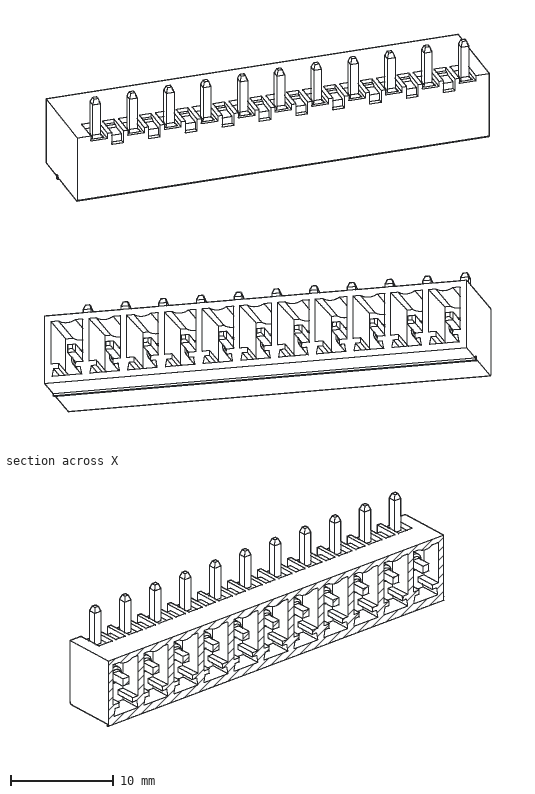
import cadquery as cq

PIN_COUNT = 11
BODY_DEPTH = 9.2
BODY_LENGTH = 42.65
END_MARGIN = 2.25
PITCH = (BODY_LENGTH - 2 * END_MARGIN) / (PIN_COUNT - 1)
BODY_HEIGHT = 6.95
REAR_CHAMFER = 0.15

CELL_DEPTH = 5.55
CELL_WIDTH = 3.2
CELL_TOP = BODY_HEIGHT - 0.65
CELL_BOTTOM = 0.7
WALL_TAPER = 0.15
BUMP_HALF_WIDTH = 0.85
BUMP_DROP = 0.25
RAIL_TOP = 1.95
RAIL_BOTTOM = 1.45
RAIL_GAP = 1.65
FOOT_TOP_WIDTH = 2.7
FOOT_BOTTOM_WIDTH = 3.0

COLLAR_DIAMETER = 1.8
COLLAR_LENGTH = 0.65
COLLAR_CHAMFER = 0.2

PIN_SIZE = 0.8
PIN_TIP_SIZE = 0.43
PIN_TIP_LENGTH = 0.5
PIN_FRONT = 1.3
PIN_LEG_X = 8.05
PIN_AXIS_Z = BODY_HEIGHT - 2.95
PIN_RISE = 3.45

RECESS_FRONT = 6.45
RECESS_DEPTH = 0.55
PIN_RECESS_WIDTH = 1.7
GAP_RECESS_WIDTH = 1.2
GAP_LEDGE_DEPTH = 0.4
GAP_LEDGE_LENGTH = 0.4
GAP_RAMP_LENGTH = 0.25
GAP_STEP_LENGTH = 0.5
GAP_STEP_DEPTH = 1.3

WEDGE_LENGTH = 0.4
WEDGE_HEIGHT = 0.2
WEDGE_REAR_WIDTH = 1.25

RIB_X = 3.37
RIB_WIDTH = 0.25
RIB_HEIGHT = 0.2
RIB_OVERHANG = 0.05

LAST_PIN_Y = PITCH * (PIN_COUNT - 1) / 2
PIN_POSITIONS = [i * PITCH - LAST_PIN_Y for i in range(PIN_COUNT)]
GAP_POSITIONS = [y + PITCH / 2 for y in PIN_POSITIONS[:-1]]


def box(x0, x1, y0, y1, z0, z1):
    """Box between two opposite corners."""
    return cq.Workplane("XY").box(x1 - x0, y1 - y0, z1 - z0, centered=False).translate((x0, y0, z0))


def make_body():
    body = box(0, BODY_DEPTH, -BODY_LENGTH / 2, BODY_LENGTH / 2, 0, BODY_HEIGHT)
    return body.edges(">X and <Z").chamfer(REAR_CHAMFER)


def upper_cell(y, left_taper, right_taper):
    """Space above the rails; its sides close in towards the back by the given tapers."""
    left = y - CELL_WIDTH / 2
    right = y + CELL_WIDTH / 2
    plan = [(0, left), (0, right), (CELL_DEPTH, right - right_taper), (CELL_DEPTH, left + left_taper)]
    space = cq.Workplane("XY", origin=(0, 0, RAIL_TOP)).polyline(plan).close().extrude(CELL_TOP - RAIL_TOP)
    bump = (
        cq.Workplane("YZ")
        .moveTo(y - BUMP_HALF_WIDTH, CELL_TOP)
        .threePointArc((y, CELL_TOP - BUMP_DROP), (y + BUMP_HALF_WIDTH, CELL_TOP))
        .close()
        .extrude(CELL_DEPTH)
    )
    return space.cut(bump)


def lower_cell(y):
    """Slot between the rails and the flared foot space below them."""
    half_outline = [
        (RAIL_GAP / 2, RAIL_TOP),
        (RAIL_GAP / 2, RAIL_BOTTOM),
        (FOOT_TOP_WIDTH / 2, RAIL_BOTTOM),
        (FOOT_BOTTOM_WIDTH / 2, CELL_BOTTOM),
    ]
    right_side = [(y + dy, z) for dy, z in half_outline]
    left_side = [(y - dy, z) for dy, z in reversed(half_outline)]
    return cq.Workplane("YZ").polyline(right_side + left_side).close().extrude(CELL_DEPTH)


def make_collar(y):
    collar = (
        cq.Workplane("YZ", origin=(CELL_DEPTH - COLLAR_LENGTH, y, PIN_AXIS_Z))
        .circle(COLLAR_DIAMETER / 2)
        .extrude(COLLAR_LENGTH)
    )
    return collar.faces("<X").chamfer(COLLAR_CHAMFER)


def tapered_tip(plane):
    """Pointed end of a pin, growing along the plane's normal."""
    return (
        cq.Workplane(plane)
        .rect(PIN_SIZE, PIN_SIZE)
        .workplane(offset=PIN_TIP_LENGTH)
        .rect(PIN_TIP_SIZE, PIN_TIP_SIZE)
        .loft(ruled=True)
    )


def make_pin(y):
    half = PIN_SIZE / 2
    contact_start = PIN_FRONT + PIN_TIP_LENGTH
    leg_end = BODY_HEIGHT + PIN_RISE - PIN_TIP_LENGTH
    leg_rear = PIN_LEG_X + half
    contact = box(contact_start, leg_rear, y - half, y + half, PIN_AXIS_Z - half, PIN_AXIS_Z + half)
    leg = box(PIN_LEG_X - half, leg_rear, y - half, y + half, PIN_AXIS_Z - half, leg_end)
    contact_plane = cq.Plane(origin=(contact_start, y, PIN_AXIS_Z), xDir=(0, 1, 0), normal=(-1, 0, 0))
    leg_plane = cq.Plane(origin=(PIN_LEG_X, y, leg_end))
    return contact.union(leg).union(tapered_tip(contact_plane)).union(tapered_tip(leg_plane))


def pin_recess(y):
    half = PIN_RECESS_WIDTH / 2
    return box(RECESS_FRONT, BODY_DEPTH, y - half, y + half, BODY_HEIGHT - RECESS_DEPTH, BODY_HEIGHT)


def gap_recess(y):
    """Recess between two pins: a front ledge, a ramp to the floor and a deeper rear step."""
    ledge_end = RECESS_FRONT + GAP_LEDGE_LENGTH
    floor = BODY_HEIGHT - RECESS_DEPTH
    profile = [
        (RECESS_FRONT, BODY_HEIGHT),
        (RECESS_FRONT, BODY_HEIGHT - GAP_LEDGE_DEPTH),
        (ledge_end, BODY_HEIGHT - GAP_LEDGE_DEPTH),
        (ledge_end + GAP_RAMP_LENGTH, floor),
        (BODY_DEPTH - GAP_STEP_LENGTH, floor),
        (BODY_DEPTH - GAP_STEP_LENGTH, BODY_HEIGHT - GAP_STEP_DEPTH),
        (BODY_DEPTH, BODY_HEIGHT - GAP_STEP_DEPTH),
        (BODY_DEPTH, BODY_HEIGHT),
    ]
    side = cq.Workplane("XZ", origin=(0, y, 0)).polyline(profile).close()
    return side.extrude(GAP_RECESS_WIDTH / 2, both=True)


def make_wedge(y):
    """Small ramp falling from the rear of a pin leg, wider towards its foot."""
    front = PIN_LEG_X + PIN_SIZE / 2
    rear = front + WEDGE_LENGTH
    floor = BODY_HEIGHT - RECESS_DEPTH
    ramp = (
        cq.Workplane("XZ", origin=(0, y, 0))
        .polyline([(front, floor), (rear, floor), (front, floor + WEDGE_HEIGHT)])
        .close()
        .extrude(WEDGE_REAR_WIDTH / 2, both=True)
    )
    plan = [
        (front, y - PIN_SIZE / 2),
        (rear, y - WEDGE_REAR_WIDTH / 2),
        (rear, y + WEDGE_REAR_WIDTH / 2),
        (front, y + PIN_SIZE / 2),
    ]
    footprint = cq.Workplane("XY", origin=(0, 0, floor)).polyline(plan).close().extrude(WEDGE_HEIGHT)
    return ramp.intersect(footprint)


def make_rib():
    y_start = -BODY_LENGTH / 2 - RIB_OVERHANG
    half = RIB_WIDTH / 2
    return box(RIB_X - half, RIB_X + half, y_start, BODY_LENGTH / 2, -RIB_HEIGHT, RIB_HEIGHT)


result = make_body()

for index, pin_y in enumerate(PIN_POSITIONS):
    left_taper = WALL_TAPER if index > 0 else 0
    right_taper = WALL_TAPER if index < PIN_COUNT - 1 else 0
    result = result.cut(upper_cell(pin_y, left_taper, right_taper))
    result = result.cut(lower_cell(pin_y))
    result = result.cut(pin_recess(pin_y))

for gap_y in GAP_POSITIONS:
    result = result.cut(gap_recess(gap_y))

for pin_y in PIN_POSITIONS:
    result = result.union(make_collar(pin_y))
    result = result.union(make_pin(pin_y))
    result = result.union(make_wedge(pin_y))

result = result.union(make_rib())